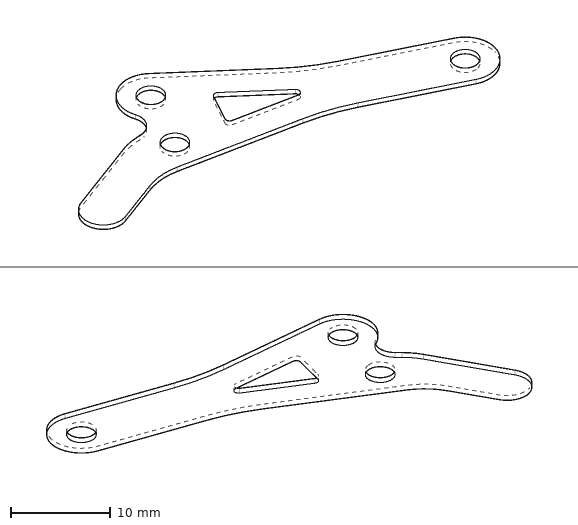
import cadquery as cq
import math

thickness = 0.6
hole_diameter = 3.0
hole_offset = 4.0
top_hole_y = 32.0
end_radius = 3.5
flare_angle = 14
waist_radius = 25.05

tail_tip = (12.15, -10.15)
tail_radius = 2.5
tail_angle = -44
elbow_outer_radius = 7.4
elbow_inner_radius = 7.0
neck_radius = 2.02
neck_line_angle = -62

window_base_y = 6.0
window_corner_radius = 0.5


def polar(center, radius, angle):
    """Point on a circle at an angle in degrees."""
    a = math.radians(angle)
    return (center[0] + radius * math.cos(a), center[1] + radius * math.sin(a))


def meet(p, p_angle, q, q_angle):
    """Intersection of two lines, each given by a point and a direction."""
    px, py = polar((0, 0), 1, p_angle)
    qx, qy = polar((0, 0), 1, q_angle)
    dx, dy = q[0] - p[0], q[1] - p[1]
    along = (dx * qy - dy * qx) / (px * qy - py * qx)
    return (p[0] + along * px, p[1] + along * py)


left_hole = (-hole_offset, 0)
right_hole = (hole_offset, 0)
top_hole = (0, top_hole_y)

left_tangent = polar(left_hole, end_radius, 180 - flare_angle)
right_tangent = polar(right_hole, end_radius, flare_angle)
right_flare_direction = flare_angle - 90
left_waist = meet(left_tangent, 90 - flare_angle, (-end_radius, 0), 90)
right_waist = (-left_waist[0], left_waist[1])

tail_upper = polar(tail_tip, tail_radius, tail_angle + 90)
tail_lower = polar(tail_tip, tail_radius, tail_angle - 90)
tail_end = polar(tail_tip, tail_radius, tail_angle)
outer_elbow = meet(right_tangent, right_flare_direction, tail_upper, tail_angle)

neck_reach = end_radius + neck_radius
neck_center = (0, -math.sqrt(neck_reach ** 2 - hole_offset ** 2))
neck_contact_angle = math.degrees(math.atan2(neck_center[1], hole_offset))
neck_start = polar(neck_center, neck_radius, neck_line_angle + 90)
neck_top = polar(neck_center, neck_radius, 90)
neck_end = polar(left_hole, end_radius, neck_contact_angle)
inner_elbow = meet(neck_start, neck_line_angle, tail_lower, tail_angle)
left_end_middle = polar(left_hole, end_radius, 225)


def make_blank():
    """Plate with the four outline bends rounded."""
    blank = (
        cq.Workplane("XY")
        .moveTo(-end_radius, top_hole_y)
        .threePointArc((0, top_hole_y + end_radius), (end_radius, top_hole_y))
        .lineTo(*right_waist)
        .lineTo(*outer_elbow)
        .lineTo(*tail_upper)
        .threePointArc(tail_end, tail_lower)
        .lineTo(*inner_elbow)
        .lineTo(*neck_start)
        .threePointArc(neck_top, neck_end)
        .threePointArc(left_end_middle, left_tangent)
        .lineTo(*left_waist)
        .close()
        .extrude(thickness)
    )
    bends = [
        (left_waist, waist_radius),
        (right_waist, waist_radius),
        (outer_elbow, elbow_outer_radius),
        (inner_elbow, elbow_inner_radius),
    ]
    for (x, y), radius in bends:
        corner_edge = cq.selectors.NearestToPointSelector((x, y, thickness / 2))
        blank = blank.edges(corner_edge).fillet(radius)
    return blank


def make_window():
    """Triangular opening whose sides aim at the lower hole centres."""
    slope = math.tan(math.radians(flare_angle))
    apex_y = hole_offset / slope
    half_base = (apex_y - window_base_y) * slope
    corners = [(-half_base, window_base_y), (half_base, window_base_y), (0, apex_y)]
    window = cq.Workplane("XY").polyline(corners).close().extrude(thickness)
    return window.edges("|Z").fillet(window_corner_radius)


def make_holes():
    """Three equal through holes."""
    centers = [left_hole, right_hole, top_hole]
    return cq.Workplane("XY").pushPoints(centers).circle(hole_diameter / 2).extrude(thickness)


result = make_blank().cut(make_window()).cut(make_holes())